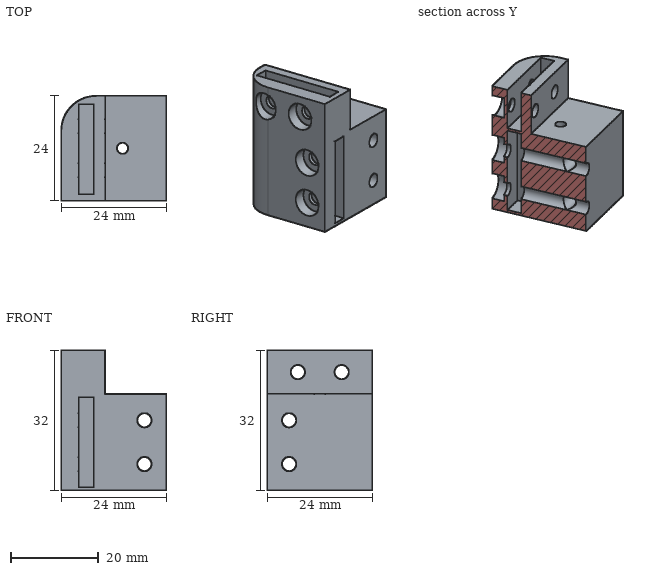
import cadquery as cq

width = 24.0
depth = 24.0
height = 32.0
corner_radius = 8.0

wall_thickness = 10.0
step_height = 22.0

slot_thickness = 3.4
slot_length = 20.5
slot_depth = 10.0
slot_x = 4.0
top_slot_y = 1.5
front_slot_z = (step_height - slot_length) / 2

screw_diameter = 3.2
head_diameter = 6.4
head_depth = 3.0
wall_screws = [(17.0, 27.0), (7.0, 27.0), (5.0, 16.0), (5.0, 6.0)]
cross_screw_x = 19.0
cross_screw_heights = [16.0, 6.0]

pilot_diameter = 2.5
pilot_x = 14.0
pilot_y = depth / 2


def box_at(corner, size):
    """Box with its lowest corner at the given point."""
    return cq.Workplane("XY").box(*size, centered=False).translate(corner)


def bore(start, direction, diameter, length):
    """Cylinder that runs from a start point along a direction."""
    return cq.Workplane(
        cq.Solid.makeCylinder(diameter / 2, length, cq.Vector(*start), cq.Vector(*direction))
    )


def make_body():
    """Stepped block with one rounded vertical corner."""
    block = box_at((0, 0, 0), (width, depth, height))
    block = block.edges("|Z and <X and >Y").fillet(corner_radius)
    step = box_at(
        (wall_thickness, 0, step_height),
        (width - wall_thickness, depth, height - step_height),
    )
    return block.cut(step)


def cut_strip_slots(body):
    """One slot opens on the top face, the other on the front face."""
    top_slot = box_at(
        (slot_x, top_slot_y, height - slot_depth),
        (slot_thickness, slot_length, slot_depth),
    )
    front_slot = box_at(
        (slot_x, 0, front_slot_z),
        (slot_thickness, slot_depth, slot_length),
    )
    return body.cut(top_slot).cut(front_slot)


def cut_wall_screws(body):
    """Counterbored screw holes along X, through the whole part."""
    for y, z in wall_screws:
        body = body.cut(bore((0, y, z), (1, 0, 0), screw_diameter, width))
        body = body.cut(bore((0, y, z), (1, 0, 0), head_diameter, head_depth))
    return body


def cut_cross_screws(body):
    """Plain screw holes along Y, through the low block."""
    for z in cross_screw_heights:
        body = body.cut(bore((cross_screw_x, 0, z), (0, 1, 0), screw_diameter, depth))
    return body


def cut_pilot_hole(body):
    """Vertical through hole in the low block."""
    return body.cut(bore((pilot_x, pilot_y, 0), (0, 0, 1), pilot_diameter, height))


result = make_body()
result = cut_strip_slots(result)
result = cut_wall_screws(result)
result = cut_cross_screws(result)
result = cut_pilot_hole(result)